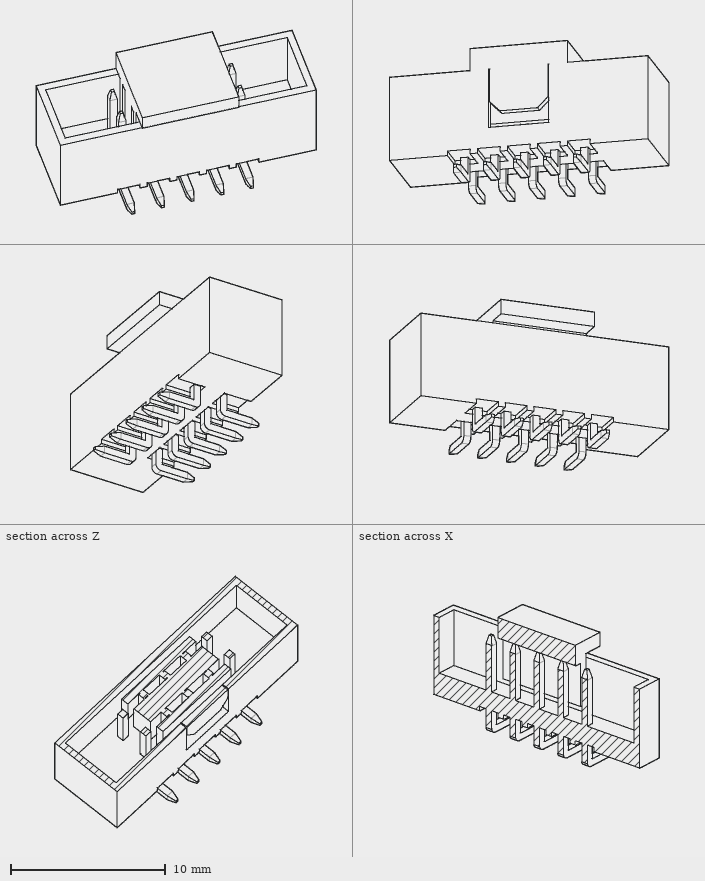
import cadquery as cq


body_length = 17.26
body_width = 5.5
body_height = 5.7
body_bottom = 1.35
side_wall = 0.54
end_wall = 0.48
floor_thickness = 1.7

body_top = body_bottom + body_height
floor_top = body_bottom + floor_thickness
wall_outside = body_width / 2
wall_inside = wall_outside - side_wall

bridge_length = 6.5
bridge_height = 1.5
lip_reach = 3.26
lip_thickness = 1.0
core_width = 3.66
core_clearance = 0.54
right_leg_clearance = 0.91
pin_slot_width = 0.52

bridge_top = body_top + bridge_height
core_left, core_right = -core_width / 2, core_width / 2
core_bottom = floor_top + core_clearance
right_leg_bottom = floor_top + right_leg_clearance

window_width = 4.0
tongue_gap = 0.05
tongue_end_gap = 1.07
tongue_chamfer = 0.69

tongue_width = window_width - 2 * tongue_gap
tongue_end = floor_top + tongue_end_gap

pin_pitch = 2.0
pins_per_row = 5
pin_size = 0.5
pin_top_drop = 0.09
foot_reach = 7.5 / 2
taper_length = 0.62
tip_size = 0.2
bend_radius = 0.4

pin_x = pin_pitch / 2
pin_ys = [(index - (pins_per_row - 1) / 2) * pin_pitch for index in range(pins_per_row)]
pin_top = body_top - pin_top_drop

notch_width = 1.52
notch_height = 0.31
notch_inner_x = pin_x - pin_size / 2


def block(x_range, y_range, z_range):
    """Axis-aligned block between the given pairs of limits."""
    sizes = [high - low for low, high in (x_range, y_range, z_range)]
    corner = (x_range[0], y_range[0], z_range[0])
    return cq.Workplane("XY").box(*sizes, centered=False).translate(corner)


def centred(width, middle=0.0):
    """Limits of a span of the given width about a middle."""
    return (middle - width / 2, middle + width / 2)


def make_housing():
    housing = block(centred(body_width), centred(body_length), (body_bottom, body_top))
    cavity = block(
        (-wall_inside, wall_inside),
        centred(body_length - 2 * end_wall),
        (floor_top, body_top),
    )
    return housing.cut(cavity)


def make_bridge():
    profile = [
        (-wall_outside, body_top),
        (core_left, body_top),
        (core_left, core_bottom),
        (pin_x, core_bottom),
        (pin_x, right_leg_bottom),
        (core_right, right_leg_bottom),
        (core_right, bridge_top - lip_thickness),
        (lip_reach, bridge_top - lip_thickness),
        (lip_reach, bridge_top),
        (-wall_outside, bridge_top),
    ]
    bridge = cq.Workplane("XZ").polyline(profile).close().extrude(bridge_length / 2, both=True)
    for row_x in (-pin_x, pin_x):
        bridge = bridge.cut(
            block(centred(pin_slot_width, row_x), centred(bridge_length), (core_bottom, body_top))
        )
    return bridge


def make_window():
    return block((-wall_outside, -wall_inside), centred(window_width), (floor_top, body_top))


def make_tongue():
    tongue = block((-wall_outside, -wall_inside), centred(tongue_width), (tongue_end, body_top))
    return tongue.faces("<Z").edges("|X").chamfer(tongue_chamfer)


def make_tip(plane):
    """Tapered wire end growing along the plane's normal."""
    return (
        cq.Workplane(plane)
        .rect(pin_size, pin_size)
        .workplane(offset=taper_length)
        .rect(tip_size, tip_size)
        .loft(ruled=True)
    )


def make_pin():
    """One pin of the +X row at Y = 0: upright post, bend and foot pointing to +X."""
    post_end = pin_top - taper_length
    foot_end = foot_reach - taper_length
    post = block(centred(pin_size, pin_x), centred(pin_size), (0, post_end))
    foot = block((pin_x - pin_size / 2, foot_end), centred(pin_size), (0, pin_size))
    pin = post.union(foot).edges("|Y and <X and <Z").fillet(bend_radius)
    post_tip_plane = cq.Plane(origin=(pin_x, 0, post_end), normal=(0, 0, 1))
    foot_tip_plane = cq.Plane(origin=(foot_end, 0, pin_size / 2), xDir=(0, 1, 0), normal=(1, 0, 0))
    return pin.union(make_tip(post_tip_plane)).union(make_tip(foot_tip_plane))


def make_notch():
    """Relief notch of the +X row at Y = 0."""
    return block(
        (notch_inner_x, wall_outside),
        centred(notch_width),
        (body_bottom, body_bottom + notch_height),
    )


def both_rows(shape):
    """The +X shape together with its copy turned half round for the -X row."""
    return (shape, shape.rotate((0, 0, 0), (0, 0, 1), 180))


result = make_housing().cut(make_window()).union(make_bridge()).union(make_tongue())

for pin_y in pin_ys:
    for notch in both_rows(make_notch()):
        result = result.cut(notch.translate((0, pin_y, 0)))
    for pin in both_rows(make_pin()):
        result = result.union(pin.translate((0, pin_y, 0)))